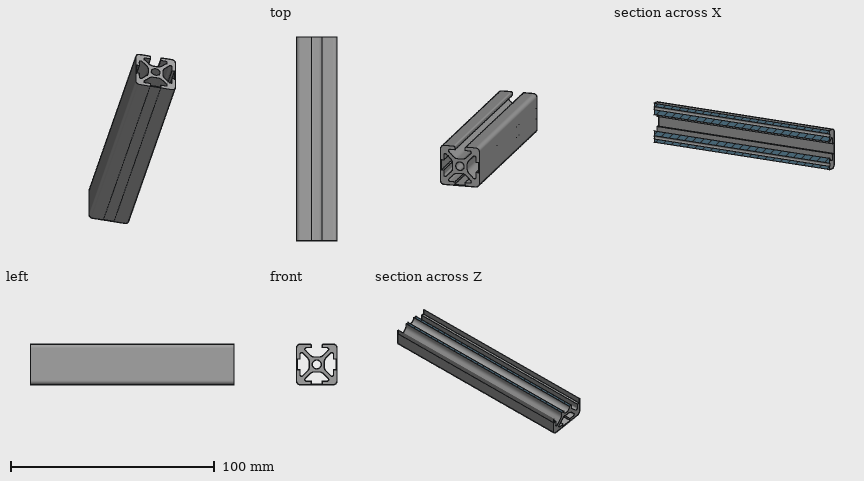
import cadquery as cq
import math

side = 20.0
length = 100.0
corner_radius = 2.0
bore_diameter = 4.3

core_width = 7.45
web_thickness = 1.9
core_web_radius = 3.0
cavity_tip_radius = 0.75

slot_width = 5.15
lip_thickness = 1.8
open_lip_radius = 0.8
closed_lip_radius = 0.9
closing_wall = 0.5

half_side = side / 2
half_core = core_width / 2
half_slot = slot_width / 2
lip_inner = half_side - lip_thickness
web_offset = web_thickness / 2 * math.sqrt(2)


def profile_plane():
    """XZ plane at the +Y end; a positive extrusion runs toward -Y."""
    return cq.Workplane("XZ", origin=(0, length / 2, 0))


def make_bar():
    bar = profile_plane().rect(side, side).extrude(length)
    return bar.edges("|Y").fillet(corner_radius)


def make_bore():
    return profile_plane().circle(bore_diameter / 2).extrude(length)


def make_cavity():
    """Trapezoidal chamber between two webs, the core and the slot lips."""
    half_bottom = half_core - web_offset
    half_top = lip_inner - web_offset
    cavity = (
        profile_plane()
        .moveTo(-half_bottom, half_core)
        .lineTo(half_bottom, half_core)
        .lineTo(half_top, lip_inner)
        .lineTo(-half_top, lip_inner)
        .close()
        .extrude(length)
    )
    cavity = cavity.faces("<Z").edges("|Y").fillet(core_web_radius)
    return cavity.faces(">Z").edges("|Y").fillet(cavity_tip_radius)


def make_mouth(wall, lip_radius):
    """Opening that flares around the lip rounds and stops a wall thickness below the outer face."""
    round_start = half_side - lip_radius
    sweep = math.asin(1 - wall / lip_radius)

    def lip_point(angle):
        x = half_slot + lip_radius * (1 - math.cos(angle))
        z = round_start + lip_radius * math.sin(angle)
        return x, z

    mid_x, mid_z = lip_point(sweep / 2)
    end_x, end_z = lip_point(sweep)
    return (
        profile_plane()
        .moveTo(-half_slot, lip_inner)
        .lineTo(half_slot, lip_inner)
        .lineTo(half_slot, round_start)
        .threePointArc((mid_x, mid_z), (end_x, end_z))
        .lineTo(-end_x, end_z)
        .threePointArc((-mid_x, mid_z), (-half_slot, round_start))
        .close()
        .extrude(length)
    )


cavity = make_cavity()
open_slot = cavity.union(make_mouth(0, open_lip_radius))
closed_slot = cavity.union(make_mouth(closing_wall, closed_lip_radius))

result = make_bar().cut(make_bore()).cut(open_slot)
for angle in (90, 180, 270):
    result = result.cut(closed_slot.rotate((0, 0, 0), (0, 1, 0), angle))